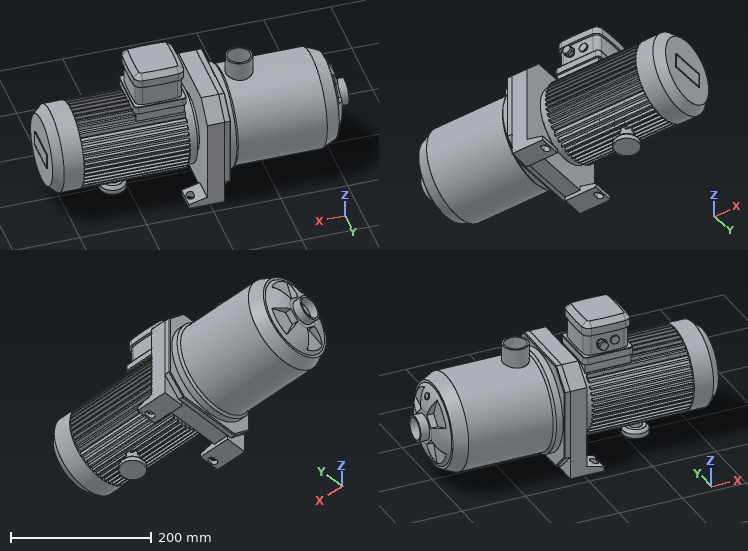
import cadquery as cq
import math


hub_x = 14.0
pocket_floor_x = 24.8
dome_edge_x = 29.0
shoulder_x = 49.7
rim_cone_x = 182.6
rim_x = 186.0
adapter_x = 196.4
bracket_x = 205.5
neck_x = 231.6
motor_flange_x = 238.6
fins_x = 250.9
fan_cover_x = 409.2
fan_chamfer_x = 439.5
fan_end_x = 453.0
total_length = 454.3

casing_radius = 149 / 2
rim_radius = 156.5 / 2
casing_front_radius = 65.4
hub_radius = 26.0
dome_edge_radius = 61.5
dome_mid_x = 18.8
dome_mid_radius = 46.0
nozzle_radius = 39.7 / 2
nozzle_bore_radius = 33.7 / 2
suction_bore_depth = hub_x
port_x = 158.2
port_top_z = 102.0
port_floor_z = casing_radius
pocket_count = 4
pocket_half_angle = 22.5
pocket_outer_radius = 80.0

plug_radius = 10 / 2
plug_z = 49.0
plug_front_x = 18.3
plug_length = 8.0
plug_tilt = 20.0

plate_size = 166.0
plate_half = plate_size / 2
corner_cut = 29.0
adapter_bevel_length = 2.0
adapter_bevel_width = 1.0
base_z = -90.0
foot_inner_y = 47.0
foot_end_x = 259.0
foot_root_z = -75.7
foot_tip_z = -82.8
foot_slot_x = 251.4
foot_slot_y = (foot_inner_y + plate_half) / 2
foot_slot_width = 10.0
foot_slot_length = 16.0

neck_radius = 91 / 2
motor_radius = 120 / 2
fin_tip_radius = 130 / 2
fin_pitch = 8.2
fin_thickness = 2.0
fins_each_side = 5
fan_end_radius = 53.0
badge_width = 57.0
badge_height = 24.0

box_x = 287.1
pad_size = 72.4
pad_top_z = 63.3
socket_size = 78.4
socket_corner_radius = 6.0
socket_top_z = 75.1
socket_bevel = 0.7
box_half = 35.7
box_corner_radius = 9.5
lid_z = 108.8
lid_half_x = 38.4
lid_half_y = 39.0
lid_corner_radius = 11.5
lid_bevel_z = 121.0
lid_top_z = 128.5
lid_bevel_width = 8.5
side_bulge = 1.8

gland_x = 275.4
blind_x = 297.4
entry_z = 92.6
collar_radius = 12 / 2
collar_end_y = -37.7
gland_flats = 13.5
gland_hex_end_y = -43.7
gland_end_y = -47.6
gland_cap_radius = gland_flats / 2
blind_radius = 13.5 / 2

support_x = 347.0
stem_radius = 20 / 2
support_radius = 40 / 2
support_cone_radius = 15.5
support_cone_z = -77.5
support_disc_z = -82.6


def cylinder_x(radius, start, end):
    return cq.Workplane("YZ").workplane(offset=start).circle(radius).extrude(end - start)


def cylinder_z(radius, x, bottom, top):
    return cq.Workplane("XY").workplane(offset=bottom).center(x, 0).circle(radius).extrude(top - bottom)


def cylinder_y(radius, x, z, start, end):
    return cq.Workplane("XZ", origin=(x, start, z)).circle(radius).extrude(start - end)


def make_casing():
    body = (
        cq.Workplane("XY")
        .moveTo(hub_x, 0)
        .lineTo(hub_x, hub_radius)
        .threePointArc((dome_mid_x, dome_mid_radius), (dome_edge_x, dome_edge_radius))
        .lineTo(dome_edge_x, casing_front_radius)
        .lineTo(shoulder_x, casing_radius)
        .lineTo(rim_cone_x, casing_radius)
        .lineTo(rim_x, rim_radius)
        .lineTo(adapter_x, rim_radius)
        .lineTo(adapter_x, 0)
        .close()
        .revolve(360, (0, 0, 0), (1, 0, 0))
    )
    half_angle = math.radians(pocket_half_angle)
    inner = (hub_radius * math.cos(half_angle), hub_radius * math.sin(half_angle))
    outer = (pocket_outer_radius * math.cos(half_angle), pocket_outer_radius * math.sin(half_angle))
    pocket = (
        cq.Workplane("YZ")
        .polyline([inner, outer, (outer[0], -outer[1]), (inner[0], -inner[1])])
        .close()
        .extrude(pocket_floor_x)
    )
    for index in range(pocket_count):
        body = body.cut(pocket.rotate((0, 0, 0), (1, 0, 0), 45 + index * 360 / pocket_count))
    body = body.union(cylinder_x(nozzle_radius, 0, hub_x))
    body = body.union(cylinder_z(nozzle_radius, port_x, 0, port_top_z))
    body = body.cut(cylinder_x(nozzle_bore_radius, 0, suction_bore_depth))
    return body.cut(cylinder_z(nozzle_bore_radius, port_x, port_floor_z, port_top_z))


def make_vent_plug():
    plug = cylinder_x(plug_radius, 0, plug_length)
    return plug.rotate((0, 0, 0), (0, 1, 0), plug_tilt).translate((plug_front_x, 0, plug_z))


def make_adapter():
    return (
        cq.Workplane("YZ")
        .workplane(offset=adapter_x)
        .rect(plate_size, plate_size)
        .extrude(bracket_x - adapter_x)
        .edges("|X")
        .chamfer(corner_cut)
        .faces("<X")
        .chamfer(adapter_bevel_length, adapter_bevel_width)
    )


def make_bracket():
    thickness = neck_x - bracket_x
    body = (
        cq.Workplane("YZ")
        .workplane(offset=bracket_x)
        .rect(plate_size, plate_size)
        .extrude(thickness)
        .edges("|X and >Z")
        .chamfer(corner_cut)
    )
    foot_width = plate_half - foot_inner_y
    for side in (-1, 1):
        foot = (
            cq.Workplane("XZ", origin=(0, side * foot_slot_y + foot_width / 2, 0))
            .moveTo(bracket_x, base_z)
            .lineTo(foot_end_x, base_z)
            .lineTo(foot_end_x, foot_tip_z)
            .lineTo(neck_x, foot_root_z)
            .lineTo(bracket_x, foot_root_z)
            .close()
            .extrude(foot_width)
        )
        slot = (
            cq.Workplane("XY", origin=(foot_slot_x, side * foot_slot_y, base_z))
            .slot2D(foot_slot_length, foot_slot_width, 90)
            .extrude(foot_root_z - base_z)
        )
        body = body.union(foot.cut(slot))
    return body


def make_motor():
    fins_length = fan_cover_x - fins_x
    fins = cq.Workplane("YZ").workplane(offset=fins_x)
    fin_places = [(index * fin_pitch, 0) for index in range(-fins_each_side, fins_each_side + 1)]
    upright = fins.pushPoints(fin_places).rect(fin_thickness, 2 * fin_tip_radius).extrude(fins_length)
    level = upright.rotate((0, 0, 0), (1, 0, 0), 90)
    body = upright.union(level).intersect(cylinder_x(fin_tip_radius, fins_x, fan_cover_x))
    body = body.union(cylinder_x(motor_radius, motor_flange_x, fan_cover_x))
    body = body.union(cylinder_x(neck_radius, neck_x, motor_flange_x))
    pad = cq.Workplane("XY").center(box_x, 0).rect(pad_size, pad_size).extrude(pad_top_z)
    flat_top = (
        cq.Workplane("XY", origin=(box_x, 0, pad_top_z)).rect(pad_size, pad_size).extrude(fin_tip_radius - pad_top_z)
    )
    return body.union(pad).cut(flat_top)


def make_fan_cover():
    body = (
        cq.Workplane("XY")
        .moveTo(fan_cover_x, 0)
        .lineTo(fan_cover_x, fin_tip_radius)
        .lineTo(fan_chamfer_x, fin_tip_radius)
        .lineTo(fan_end_x, fan_end_radius)
        .lineTo(fan_end_x, 0)
        .close()
        .revolve(360, (0, 0, 0), (1, 0, 0))
    )
    badge = (
        cq.Workplane("YZ").workplane(offset=fan_end_x).rect(badge_width, badge_height).extrude(total_length - fan_end_x)
    )
    return body.union(badge)


def bulged_block(half_x, half_y, corner_radius, bottom, top):
    """Rounded block around the terminal box centre whose four sides bow outwards."""
    edge_x = half_x - side_bulge
    edge_y = half_y - side_bulge
    return (
        cq.Workplane("XY", origin=(box_x, 0, bottom))
        .moveTo(-edge_x, -edge_y)
        .threePointArc((0, -half_y), (edge_x, -edge_y))
        .threePointArc((half_x, 0), (edge_x, edge_y))
        .threePointArc((0, half_y), (-edge_x, edge_y))
        .threePointArc((-half_x, 0), (-edge_x, -edge_y))
        .close()
        .extrude(top - bottom)
        .edges("|Z")
        .fillet(corner_radius)
    )


def make_terminal_box():
    socket = (
        cq.Workplane("XY", origin=(box_x, 0, pad_top_z))
        .rect(socket_size, socket_size)
        .extrude(socket_top_z - pad_top_z)
        .edges("|Z")
        .fillet(socket_corner_radius)
        .faces(">Z")
        .chamfer(socket_bevel)
    )
    box = bulged_block(box_half, box_half, box_corner_radius, socket_top_z, lid_z)
    blind_plug = cylinder_y(blind_radius, blind_x, entry_z, 0, collar_end_y)
    return socket.union(box).union(blind_plug)


def make_lid():
    lid = bulged_block(lid_half_x, lid_half_y, lid_corner_radius, lid_z, lid_top_z)
    return lid.faces(">Z").chamfer(lid_top_z - lid_bevel_z, lid_bevel_width)


def make_gland():
    collar = cylinder_y(collar_radius, gland_x, entry_z, 0, collar_end_y)
    corner_diameter = gland_flats / math.cos(math.pi / 6)
    nut = (
        cq.Workplane("XZ", origin=(gland_x, collar_end_y, entry_z))
        .polygon(6, corner_diameter)
        .extrude(collar_end_y - gland_hex_end_y)
        .rotate((gland_x, 0, entry_z), (gland_x, 1, entry_z), 30)
    )
    cap = cylinder_y(gland_cap_radius, gland_x, entry_z, gland_hex_end_y, gland_end_y)
    return collar.union(nut).union(cap)


def make_support():
    return (
        cq.Workplane("XZ")
        .moveTo(0, base_z)
        .lineTo(support_radius, base_z)
        .lineTo(support_radius, support_disc_z)
        .lineTo(support_cone_radius, support_cone_z)
        .lineTo(stem_radius, support_cone_z)
        .lineTo(stem_radius, -motor_radius)
        .lineTo(0, -motor_radius)
        .close()
        .revolve(360, (0, 0, 0), (0, 1, 0))
        .translate((support_x, 0, 0))
    )


vent_plug = make_vent_plug()
casing = make_casing().cut(vent_plug)
adapter = make_adapter()
bracket = make_bracket()
support = make_support()
motor = make_motor().cut(support)
fan_cover = make_fan_cover()
lid = make_lid()
gland_and_box_face = make_gland()
terminal_box = make_terminal_box()
gland = gland_and_box_face.cut(terminal_box)

result = cq.Compound.makeCompound(
    [
        casing.val(),
        vent_plug.val(),
        adapter.val(),
        bracket.val(),
        motor.val(),
        fan_cover.val(),
        terminal_box.val(),
        lid.val(),
        gland.val(),
        support.val(),
    ]
)